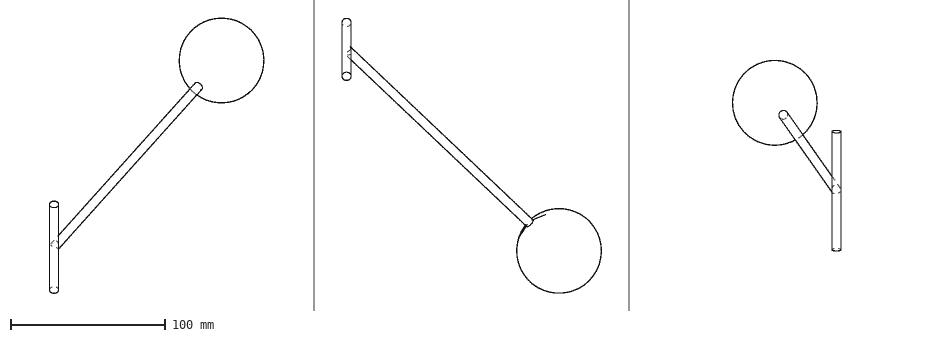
import cadquery as cq

overall_length = 230.5
ball_diameter = 55.0
rod_diameter = 6.0
crossbar_length = 80.0

ball_center_y = overall_length - ball_diameter / 2 - rod_diameter / 2


def make_crossbar():
    """Upright round bar centred on the origin."""
    return cq.Workplane("XY").circle(rod_diameter / 2).extrude(crossbar_length / 2, both=True)


def make_stem():
    """Round rod running from the crossbar axis to the ball centre."""
    return cq.Workplane("XZ").circle(rod_diameter / 2).extrude(-ball_center_y)


def make_ball():
    """Solid sphere at the far end of the stem."""
    return cq.Workplane("XY").sphere(ball_diameter / 2).translate((0, ball_center_y, 0))


result = make_crossbar().union(make_stem()).union(make_ball())